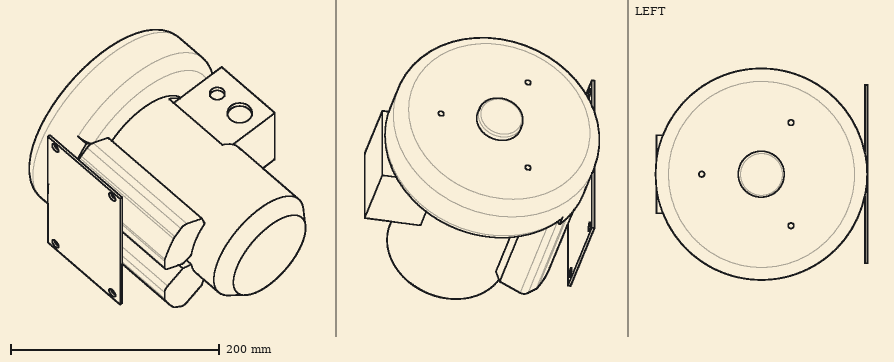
import cadquery as cq
import math


hub_radius = 22.0
hub_height = 8.3
hub_round = 2.0
housing_radius = 203.0 / 2
housing_back = 66.0
housing_round = 12.2
square_rim_half_angle = 43.9

screw_hole_count = 3
screw_hole_diameter = 5.5
screw_circle_radius = 57.0
screw_hole_depth = 12.2

motor_radius = 59.0
motor_shoulder = 229.8
motor_end = 245.0
motor_end_radius = 47.5

cover_back = 197.7
cover_tilt = 26.7
cover_half_width = 28.0
cover_side_start = 64.0
cover_flat_distance = 93.5
cover_crown_radius = 98.7
cover_round = 7.4
cover_root = 51.5

box_size = 75.0
box_front = 69.8
box_inner = 31.5
box_outer = 100.7
cable_hole_y = 76.0
cable_hole_depth = 5.0
cable_holes = [(90.2, 14.7), (121.8, 23.8)]

plate_front = 42.6
plate_length = 101.5
plate_height = 171.3
plate_thickness = 2.7
plate_outer = 203.5 - housing_radius
plate_hole_diameter = 9.0
plate_hole_spacing_x = 79.9
plate_hole_spacing_z = 154.8
plate_hole_x = 93.0

drill_tip_angle = 118.0


def drill(diameter, depth, position, direction):
    """Drilled hole volume: a cylinder that ends in a conical tip."""
    radius = diameter / 2
    tip = radius / math.tan(math.radians(drill_tip_angle / 2))
    start = cq.Vector(*position)
    axis = cq.Vector(*direction)
    shank = cq.Solid.makeCylinder(radius, depth, start, axis)
    point = cq.Solid.makeCone(radius, 0, tip, start + axis * depth, axis)
    return cq.Workplane(shank.fuse(point))


def make_housing():
    length = housing_back - hub_height
    blank = cq.Workplane("YZ", origin=(hub_height, 0, 0)).circle(housing_radius).extrude(length)
    rounded = blank.faces("<X or >X").edges().fillet(housing_round)
    front_rounded = blank.faces("<X").edges().fillet(housing_round)

    reach = 2 * housing_radius
    half_spread = reach * math.tan(math.radians(square_rim_half_angle))
    wedge = (
        cq.Workplane("YZ", origin=(hub_height, 0, 0))
        .polyline([(0, 0), (-reach, half_spread), (-reach, -half_spread)])
        .close()
        .extrude(length)
    )
    housing = rounded.union(front_rounded.intersect(wedge))

    hub = cq.Workplane("YZ").circle(hub_radius).extrude(hub_height + housing_round)
    return housing.union(hub.faces("<X").edges().fillet(hub_round))


def make_motor():
    return (
        cq.Workplane("XY")
        .moveTo(housing_back - housing_round, 0)
        .lineTo(housing_back - housing_round, motor_radius)
        .lineTo(motor_shoulder, motor_radius)
        .lineTo(motor_end, motor_end_radius)
        .lineTo(motor_end, 0)
        .close()
        .revolve(360, (0, 0, 0), (1, 0, 0))
    )


def make_cover(tilt):
    """Capacitor cover drawn outward along -Y, then tilted about the shaft axis."""
    slant = math.radians(cover_tilt)
    shoulder = (cover_flat_distance - cover_half_width * math.sin(slant)) / math.cos(slant)
    crown_angle = slant - math.acos(cover_flat_distance / cover_crown_radius)
    crown_y = -cover_crown_radius * math.cos(crown_angle)
    crown_z = cover_crown_radius * math.sin(crown_angle)
    root_half_width = cover_half_width - (cover_side_start - cover_root)

    cover = (
        cq.Workplane("YZ", origin=(housing_back, 0, 0))
        .moveTo(-cover_root, root_half_width)
        .lineTo(-cover_side_start, cover_half_width)
        .lineTo(-shoulder, cover_half_width)
        .lineTo(crown_y, crown_z)
        .threePointArc((-cover_crown_radius, 0), (crown_y, -crown_z))
        .lineTo(-shoulder, -cover_half_width)
        .lineTo(-cover_side_start, -cover_half_width)
        .lineTo(-cover_root, -root_half_width)
        .close()
        .extrude(cover_back - housing_back)
    )
    side_middle = (cover_side_start + shoulder) / 2
    outer_edges = cq.selectors.BoxSelector(
        (housing_back, -cover_crown_radius, -motor_radius),
        (cover_back, -side_middle, motor_radius),
    )
    cover = cover.edges("|X").edges(outer_edges).fillet(cover_round)
    return cover.rotate((0, 0, 0), (1, 0, 0), tilt)


def make_terminal_box():
    box = cq.Workplane("XY").box(
        box_size, box_outer - box_inner, box_size, centered=(False, False, True)
    ).translate((box_front, box_inner, 0))
    for x, diameter in cable_holes:
        top = (x, cable_hole_y, box_size / 2)
        box = box.cut(drill(diameter, cable_hole_depth, top, (0, 0, -1)))
    return box


def make_box_clearance():
    """Notch in the motor that leaves the whole top of the terminal box open."""
    return cq.Workplane("XY").box(
        box_size, box_outer - box_inner, motor_radius, centered=False
    ).translate((box_front, box_inner, box_size / 2))


def make_plate():
    plate = cq.Workplane("XY").box(
        plate_length, plate_thickness, plate_height, centered=(False, False, True)
    ).translate((plate_front, -plate_outer, 0))
    holes = (
        cq.Workplane("XZ", origin=(plate_hole_x, plate_thickness - plate_outer, 0))
        .rarray(plate_hole_spacing_x, plate_hole_spacing_z, 2, 2)
        .circle(plate_hole_diameter / 2)
        .extrude(plate_thickness)
    )
    return plate.cut(holes)


result = make_housing().union(make_motor().cut(make_box_clearance()))
for tilt in (-cover_tilt, cover_tilt):
    result = result.union(make_cover(tilt))
result = result.union(make_terminal_box()).union(make_plate())

for index in range(screw_hole_count):
    angle = 2 * math.pi * index / screw_hole_count
    y = screw_circle_radius * math.cos(angle)
    z = screw_circle_radius * math.sin(angle)
    screw_hole = drill(screw_hole_diameter, screw_hole_depth, (hub_height, y, z), (1, 0, 0))
    result = result.cut(screw_hole)